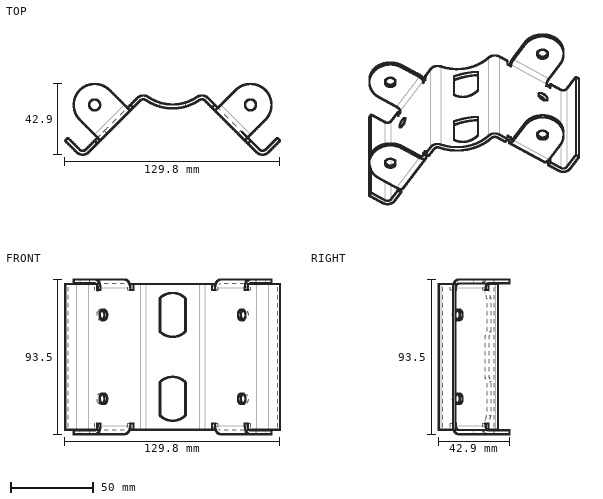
import cadquery as cq
import math

thickness = 2.5
bend_inside = 2.6
bend_outside = bend_inside + thickness
half_width = 64.9
sheet_height = 88.0
overall_height = 93.5
half_sheet = sheet_height / 2
half_overall = overall_height / 2
cut_through = 3 * thickness

leg_angle = 45.0
diagonal = math.sin(math.radians(leg_angle))
valley_x = -54.3
valley_y = bend_outside
ridge_x = -17.7
trough_front_radius = 28.5

tab_width = 25.5
tab_end_radius = tab_width / 2
tab_position = 22.8
tab_hole_offset = 17.7
tab_hole_diameter = 6.5
relief_width = 2.6
relief_depth = 3.8

opening_spacing = 50.6

leg_hole_diameter = 6.5
leg_hole_shift = -10.1

slot_front_width = 16.1
slot_height = 26.3
slot_straight = 19.3


def mirrored_in_x(shape):
    return shape.union(shape.mirror("YZ"))


def mirrored_in_z(shape):
    return shape.union(shape.mirror("XY"))


leg_length = (ridge_x - valley_x) / diagonal - (bend_outside + bend_inside)
ridge_y = valley_y + (leg_length - bend_outside - bend_inside) * diagonal
trough_angle = math.asin(-ridge_x / (trough_front_radius + bend_inside))
trough_y = ridge_y + (trough_front_radius + bend_inside) * math.cos(trough_angle)
lip_length = (half_width + valley_x) / diagonal - bend_outside
leg_origin = (
    valley_x + (bend_outside + tab_position) * diagonal,
    valley_y + (tab_position - bend_outside) * diagonal,
    0,
)


def polar(center, radius, degrees):
    angle = math.radians(degrees)
    return (center[0] + radius * math.cos(angle), center[1] + radius * math.sin(angle))


def half_section():
    """Closed outline of the left half of the bent sheet, from the lip to x = 0."""
    valley = (valley_x, valley_y)
    ridge = (ridge_x, ridge_y)
    trough_back_radius = trough_front_radius - thickness
    trough = (0, trough_y)
    left, right = 180 + leg_angle, 360 - leg_angle
    ridge_start = 180 - leg_angle
    ridge_end = 90 - math.degrees(trough_angle)
    trough_start = ridge_end + 180
    ridge_middle = (ridge_start + ridge_end) / 2
    trough_middle = (trough_start + 270) / 2
    lip = (-lip_length * diagonal, lip_length * diagonal)
    front_lip = polar(valley, bend_outside, left)
    back_lip = polar(valley, bend_inside, left)
    return (
        cq.Workplane("XY")
        .moveTo(front_lip[0] + lip[0], front_lip[1] + lip[1])
        .lineTo(*front_lip)
        .threePointArc(polar(valley, bend_outside, 270), polar(valley, bend_outside, right))
        .lineTo(*polar(ridge, bend_inside, ridge_start))
        .threePointArc(polar(ridge, bend_inside, ridge_middle), polar(ridge, bend_inside, ridge_end))
        .threePointArc(
            polar(trough, trough_front_radius, trough_middle), polar(trough, trough_front_radius, 270)
        )
        .lineTo(*polar(trough, trough_back_radius, 270))
        .threePointArc(
            polar(trough, trough_back_radius, trough_middle), polar(trough, trough_back_radius, trough_start)
        )
        .threePointArc(polar(ridge, bend_outside, ridge_middle), polar(ridge, bend_outside, ridge_start))
        .lineTo(*polar(valley, bend_inside, right))
        .threePointArc(polar(valley, bend_inside, 270), back_lip)
        .lineTo(back_lip[0] + lip[0], back_lip[1] + lip[1])
        .close()
    )


def bent_sheet():
    return mirrored_in_x(half_section().extrude(half_sheet, both=True))


def placed_on_leg(shape):
    return shape.rotate((0, 0, 0), (0, 0, 1), leg_angle).translate(leg_origin)


def relief_notch():
    """Clears the sheet's upper edge across the tab and a relief on each side of it."""
    return cq.Workplane("XY").box(
        tab_width + 2 * relief_width, cut_through, 2 * relief_depth
    ).translate((0, thickness / 2, half_sheet))


def tab():
    """Upper tab: a short root in the leg, a bend to the rear and a round-ended ear with a hole."""
    root_z = half_sheet - relief_depth
    bend_z = half_overall - bend_outside
    tab_end = tab_hole_offset + tab_end_radius
    bend_center = (bend_outside, bend_z)
    folded = (
        cq.Workplane("YZ")
        .moveTo(0, root_z)
        .lineTo(0, bend_z)
        .threePointArc(polar(bend_center, bend_outside, 135), polar(bend_center, bend_outside, 90))
        .lineTo(tab_end, half_overall)
        .lineTo(tab_end, half_overall - thickness)
        .lineTo(*polar(bend_center, bend_inside, 90))
        .threePointArc(polar(bend_center, bend_inside, 135), polar(bend_center, bend_inside, 180))
        .lineTo(thickness, root_z)
        .close()
        .extrude(tab_width / 2, both=True)
    )
    outline = (
        cq.Workplane("XY")
        .moveTo(-tab_end_radius, 0)
        .lineTo(tab_end_radius, 0)
        .lineTo(tab_end_radius, tab_hole_offset)
        .threePointArc((0, tab_end), (-tab_end_radius, tab_hole_offset))
        .close()
        .extrude(overall_height)
    )
    hole = cq.Workplane("XY").center(0, tab_hole_offset).circle(tab_hole_diameter / 2).extrude(overall_height)
    return folded.intersect(outline).cut(hole)


def leg_hole():
    return (
        cq.Workplane("XZ")
        .center(leg_hole_shift, opening_spacing / 2)
        .circle(leg_hole_diameter / 2)
        .extrude(cut_through, both=True)
    )


def trough_slot():
    """Upper slot: arched ends, and sides that point at the axis of the trough."""
    half_slot = slot_front_width / 2
    side_depth = math.sqrt(trough_front_radius**2 - half_slot**2)
    outline = (
        cq.Workplane("XZ")
        .center(0, opening_spacing / 2)
        .moveTo(-half_slot, -slot_straight / 2)
        .threePointArc((0, -slot_height / 2), (half_slot, -slot_straight / 2))
        .lineTo(half_slot, slot_straight / 2)
        .threePointArc((0, slot_height / 2), (-half_slot, slot_straight / 2))
        .close()
        .extrude(-trough_y)
    )
    reach = trough_y / side_depth
    wedge = (
        cq.Workplane("XY")
        .moveTo(0, trough_y)
        .lineTo(-half_slot * reach, 0)
        .lineTo(half_slot * reach, 0)
        .close()
        .extrude(overall_height)
    )
    return outline.intersect(wedge)


def on_both_legs_and_ends(shape):
    return mirrored_in_x(mirrored_in_z(placed_on_leg(shape)))


result = (
    bent_sheet()
    .cut(on_both_legs_and_ends(relief_notch()))
    .union(on_both_legs_and_ends(tab()))
    .cut(on_both_legs_and_ends(leg_hole()))
    .cut(mirrored_in_z(trough_slot()))
)